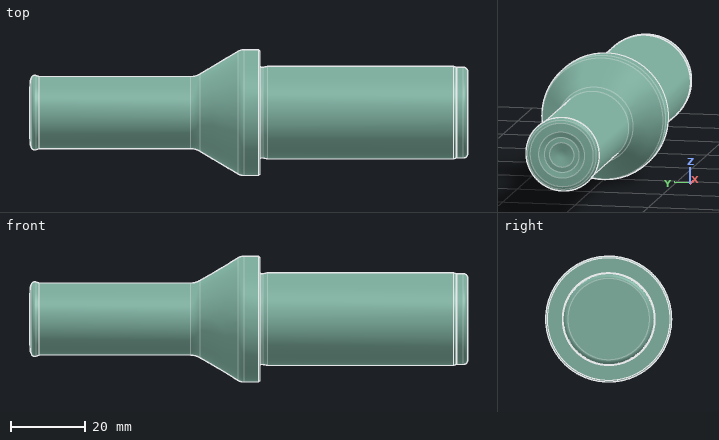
import cadquery as cq
import math

total_length = 118.0
flange_cylinder_start = 57.7
flange_back = 62.1
plug_start = 114.8

face_radius = 8.67
face_setback = 0.18
nose_radius = 9.4
nose_length = 0.5
bead_radius = 10.0
bead_crest = 1.8
bead_end = 2.6
shaft_radius = 19.5 / 2

flange_radius = 34.0 / 2
cone_angle = math.radians(30.8)
root_blend = 5.0
rim_blend = 3.1
flange_chamfer = 0.5

shank_radius = 25.0 / 2
relief_radius = 24.5 / 2
relief_corner = 0.2
relief_land_end = 62.9
relief_ramp_end = 64.1
shank_chamfer_length = 0.7

recess_radius = 6.31
floor_radius = 4.78
floor_depth = 0.4
floor_rise = 0.1
drill_radius = 3.36
drill_tip_depth = 1.0

plug_radius = relief_radius
plug_front_chamfer = 0.2
plug_rear_fillet = 1.3


def revolve_about_x(profile):
    """Turn a closed half profile, drawn as (x, radius), about the X axis."""
    return profile.close().revolve(360, (0, 0, 0), (1, 0, 0))


def make_shank():
    """Recessed front shaft, cone, flange and rear shank as one turned body."""
    sine = math.sin(cone_angle)
    drop = 1 - math.cos(cone_angle)
    half_sine = math.sin(cone_angle / 2)
    half_drop = 1 - math.cos(cone_angle / 2)

    cone_end = flange_cylinder_start - rim_blend * sine
    cone_end_radius = flange_radius - rim_blend * drop
    cone_start_radius = shaft_radius + root_blend * drop
    cone_start = cone_end - (cone_end_radius - cone_start_radius) / math.tan(cone_angle)
    shaft_end = cone_start - root_blend * sine
    root_middle = (shaft_end + root_blend * half_sine, shaft_radius + root_blend * half_drop)
    rim_middle = (flange_cylinder_start - rim_blend * half_sine, flange_radius - rim_blend * half_drop)

    profile = (
        cq.Workplane("XY")
        .moveTo(drill_tip_depth, 0)
        .lineTo(floor_depth - floor_rise, drill_radius)
        .lineTo(floor_depth, floor_radius)
        .lineTo(0, recess_radius)
        .lineTo(face_setback, face_radius)
        .lineTo(nose_length, nose_radius)
        .tangentArcPoint((bead_crest, bead_radius), relative=False)
        .lineTo(bead_end, shaft_radius)
        .lineTo(shaft_end, shaft_radius)
        .threePointArc(root_middle, (cone_start, cone_start_radius))
        .lineTo(cone_end, cone_end_radius)
        .threePointArc(rim_middle, (flange_cylinder_start, flange_radius))
        .lineTo(flange_back - flange_chamfer, flange_radius)
        .lineTo(flange_back, flange_radius - flange_chamfer)
        .lineTo(flange_back, relief_radius + relief_corner)
        .tangentArcPoint((flange_back + relief_corner, relief_radius), relative=False)
        .lineTo(relief_land_end, relief_radius)
        .lineTo(relief_ramp_end, shank_radius)
        .lineTo(plug_start - shank_chamfer_length, shank_radius)
        .lineTo(plug_start, relief_radius)
        .lineTo(plug_start, 0)
    )
    return revolve_about_x(profile)


def make_end_plug():
    """Disc seated on the rear face of the shank, chamfered in front and rounded behind."""
    profile = (
        cq.Workplane("XY")
        .moveTo(plug_start, 0)
        .lineTo(plug_start, plug_radius - plug_front_chamfer)
        .lineTo(plug_start + plug_front_chamfer, plug_radius)
        .lineTo(total_length - plug_rear_fillet, plug_radius)
        .tangentArcPoint((total_length, plug_radius - plug_rear_fillet), relative=False)
        .lineTo(total_length, 0)
    )
    return revolve_about_x(profile)


shank = make_shank()
end_plug = make_end_plug()

result = cq.Compound.makeCompound([shank.val(), end_plug.val()])